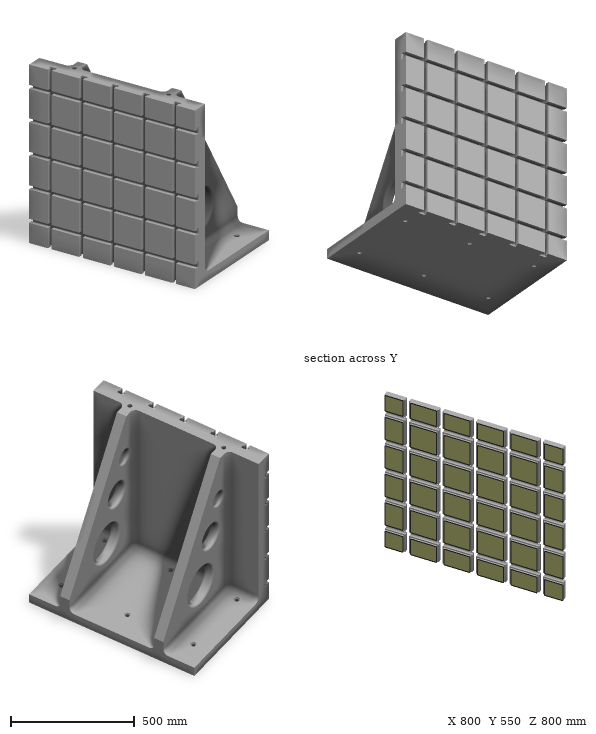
import cadquery as cq
import math

WIDTH = 800.0
HEIGHT = 800.0
DEPTH = 550.0
UPRIGHT_THICKNESS = 75.0
BASE_THICKNESS = 45.0
INNER_FILLET = 25.0

RIB_THICKNESS = 45.0
RIB_OFFSET = 227.0
RIB_TOP_DEPTH = 130.0
RIB_BACK_HEIGHT = 110.0
RIB_CENTRES = [WIDTH / 2 - RIB_OFFSET, WIDTH / 2 + RIB_OFFSET]

WINDOWS = [(275.0, 210.0, 180.0), (201.0, 422.0, 115.0), (143.0, 586.0, 65.0)]
WINDOW_ROUNDING = 10.0

SLOTS_PER_DIRECTION = 5
SLOT_EDGE_DISTANCE = 100.0
SLOT_PITCH = (WIDTH - 2 * SLOT_EDGE_DISTANCE) / (SLOTS_PER_DIRECTION - 1)
SLOT_NECK_WIDTH = 18.0
SLOT_HEAD_WIDTH = 30.0
SLOT_NECK_DEPTH = 18.0
SLOT_DEPTH = 30.0

MOUNT_PITCH = 320.0
MOUNT_FIRST_Y = 115.0
MOUNT_DIAMETER = 18.0
SPOT_FACE_DIAMETER = 26.0
SPOT_FACE_DEPTH = 3.0

LIFT_DIAMETER = 21.0
LIFT_DEPTH = 40.0
LIFT_POINT_ANGLE = 118.0
LIFT_POINT_DEPTH = LIFT_DIAMETER / 2 / math.tan(math.radians(LIFT_POINT_ANGLE / 2))
LIFT_Y = 70.0


def make_bay(x_start, x_end):
    """Open space above the base and behind the upright, with rounded inner edges."""
    bay = cq.Workplane("XY").box(
        x_end - x_start,
        DEPTH,
        HEIGHT,
        centered=False,
    ).translate((x_start, UPRIGHT_THICKNESS, BASE_THICKNESS))
    edges = bay.edges("<Y and <Z")
    if x_start > 0:
        edges = edges.add(bay.edges("<X and <Z")).add(bay.edges("<X and <Y"))
    if x_end < WIDTH:
        edges = edges.add(bay.edges(">X and <Z")).add(bay.edges(">X and <Y"))
    return edges.fillet(INNER_FILLET)


def make_body():
    """Solid block with three bays hollowed out, leaving upright, base and ribs."""
    body = cq.Workplane("XY").box(WIDTH, DEPTH, HEIGHT, centered=False)
    half_rib = RIB_THICKNESS / 2
    left, right = RIB_CENTRES
    body = body.cut(make_bay(0, left - half_rib))
    body = body.cut(make_bay(left + half_rib, right - half_rib))
    body = body.cut(make_bay(right + half_rib, WIDTH))
    sloped_waste = (
        cq.Workplane("YZ")
        .moveTo(RIB_TOP_DEPTH, HEIGHT)
        .lineTo(DEPTH, RIB_BACK_HEIGHT)
        .lineTo(DEPTH, HEIGHT)
        .close()
        .extrude(WIDTH)
    )
    return body.cut(sloped_waste)


def make_window(rib_centre, y, z, diameter):
    """Cutter for a rib window whose rims are rounded on both faces."""
    half_rib = RIB_THICKNESS / 2
    radius = diameter / 2
    rim = WINDOW_ROUNDING
    rim_radius = radius + rim
    straight = half_rib - rim
    return (
        cq.Workplane("XY")
        .moveTo(-half_rib, 0)
        .lineTo(-half_rib, rim_radius)
        .radiusArc((-straight, radius), -rim)
        .lineTo(straight, radius)
        .radiusArc((half_rib, rim_radius), -rim)
        .lineTo(half_rib, 0)
        .close()
        .revolve(360, (0, 0, 0), (1, 0, 0))
        .translate((rib_centre, y, z))
    )


def make_slot(plane, centre, length):
    """T-slot cutter opening at Y = 0; local X of the plane runs across the slot."""
    neck = SLOT_NECK_WIDTH / 2
    head = SLOT_HEAD_WIDTH / 2
    outline = [
        (neck, 0),
        (neck, SLOT_NECK_DEPTH),
        (head, SLOT_NECK_DEPTH),
        (head, SLOT_DEPTH),
        (-head, SLOT_DEPTH),
        (-head, SLOT_NECK_DEPTH),
        (-neck, SLOT_NECK_DEPTH),
        (-neck, 0),
    ]
    points = [(centre + across, depth) for across, depth in outline]
    return cq.Workplane(plane).polyline(points).close().extrude(length)


def make_lift_hole(x):
    """Blind drilled hole cutter with a conical bottom, opening in the top face."""
    radius = LIFT_DIAMETER / 2
    return (
        cq.Workplane("XZ")
        .lineTo(radius, 0)
        .lineTo(radius, -LIFT_DEPTH)
        .lineTo(0, -LIFT_DEPTH - LIFT_POINT_DEPTH)
        .close()
        .revolve(360, (0, 0, 0), (0, 1, 0))
        .translate((x, LIFT_Y, HEIGHT))
    )


result = make_body()

for rib_centre in RIB_CENTRES:
    for y, z, diameter in WINDOWS:
        result = result.cut(make_window(rib_centre, y, z, diameter))

SIDE_PLANE = cq.Plane(origin=(WIDTH, 0, 0), xDir=(0, 0, 1), normal=(-1, 0, 0))
for index in range(SLOTS_PER_DIRECTION):
    slot_centre = SLOT_EDGE_DISTANCE + index * SLOT_PITCH
    result = result.cut(make_slot("XY", slot_centre, HEIGHT))
    result = result.cut(make_slot(SIDE_PLANE, slot_centre, WIDTH))

mount_points = [
    (WIDTH / 2 + column * MOUNT_PITCH, MOUNT_FIRST_Y + row * MOUNT_PITCH)
    for column in (-1, 0, 1)
    for row in (0, 1)
]
mount_holes = (
    cq.Workplane("XY")
    .pushPoints(mount_points)
    .circle(MOUNT_DIAMETER / 2)
    .extrude(BASE_THICKNESS)
)
spot_faces = (
    cq.Workplane("XY", origin=(0, 0, BASE_THICKNESS))
    .pushPoints(mount_points)
    .circle(SPOT_FACE_DIAMETER / 2)
    .extrude(-SPOT_FACE_DEPTH)
)
result = result.cut(mount_holes).cut(spot_faces)

for rib_centre in RIB_CENTRES:
    result = result.cut(make_lift_hole(rib_centre))